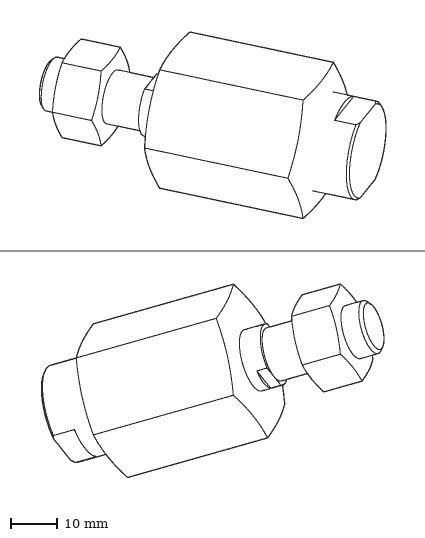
import cadquery as cq
import math

total_length = 75.0
nut_start = 5.0
nut_end = 15.0
collar_start = 24.0
collar_flat_end = 26.5
body_start = 29.0
body_end = 64.0
boss_flat_start = 69.45

stem_diameter = 12.0
collar_diameter = 13.9
collar_flats = stem_diameter
nut_flats = 19.0
body_flats = 30.0
boss_diameter = 22.0
boss_flats = 19.05

stem_chamfer = 0.75
boss_chamfer = 0.5
boss_root_fillet = 0.5
hex_chamfer_angle = 15.0


def cylinder(diameter, start, end):
    """Round bar along X."""
    return cq.Workplane("YZ", origin=(start, 0, 0)).circle(diameter / 2).extrude(end - start)


def chamfered_hexagon(flats, start, end):
    """Hexagonal bar with corners on Y, its ends turned to cones meeting the flats."""
    corner_radius = flats / math.sqrt(3)
    chamfer_height = corner_radius - flats / 2
    chamfer_length = chamfer_height * math.tan(math.radians(hex_chamfer_angle))
    prism = (
        cq.Workplane("YZ", origin=(start, 0, 0))
        .polygon(6, 2 * corner_radius)
        .extrude(end - start)
    )
    turned_envelope = (
        cq.Workplane("XY")
        .moveTo(start, 0)
        .lineTo(start, flats / 2)
        .lineTo(start + chamfer_length, corner_radius)
        .lineTo(end - chamfer_length, corner_radius)
        .lineTo(end, flats / 2)
        .lineTo(end, 0)
        .close()
        .revolve(360, (0, 0, 0), (1, 0, 0))
    )
    return prism.intersect(turned_envelope)


def cut_flats(bar, diameter, flats, start, end):
    """Cut two wrench flats facing +Z and -Z."""
    depth = (diameter - flats) / 2
    for side in (1, -1):
        cutter = cq.Workplane("XY").box(end - start, diameter, depth)
        middle = (start + end) / 2
        bar = bar.cut(cutter.translate((middle, 0, side * (flats + depth) / 2)))
    return bar


stem = cylinder(stem_diameter, 0, body_start).faces("<X").chamfer(stem_chamfer)

collar = cylinder(collar_diameter, collar_start, body_start)
collar = cut_flats(collar, collar_diameter, collar_flats, collar_start, collar_flat_end)

nut = chamfered_hexagon(nut_flats, nut_start, nut_end)
body = chamfered_hexagon(body_flats, body_start, body_end)

boss = cylinder(boss_diameter, body_end, total_length).faces(">X").chamfer(boss_chamfer)
boss = cut_flats(boss, boss_diameter, boss_flats, boss_flat_start, total_length)

root_edge = cq.selectors.BoxSelector(
    (body_end - boss_root_fillet, -boss_diameter, -boss_diameter),
    (body_end + boss_root_fillet, boss_diameter, boss_diameter),
)
housing = body.union(boss).edges("%CIRCLE").edges(root_edge)
housing = housing.edges(cq.selectors.RadiusNthSelector(0)).fillet(boss_root_fillet)

result = stem.union(collar).union(nut).union(housing)